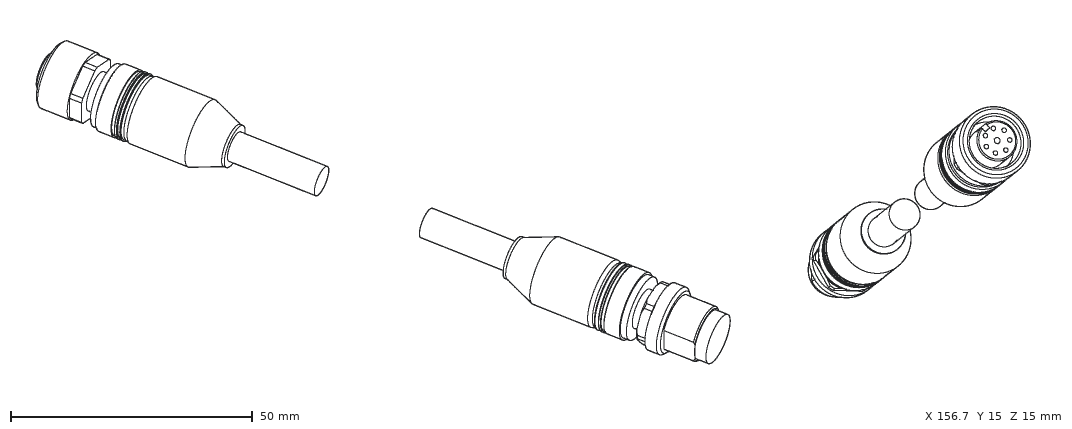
import cadquery as cq
import math

length = 156.7
max_radius = 7.5

cable_radius = 3.3
cable_length = 20.2
sleeve_radius = 4.7
sleeve_length = 0.6
cone_end = 27.9
grip_end = 48.7
collar_end = 50.1
collar_radius = 7.0
groove_depth = 0.3
grooves = ((41.4, 42.3, 43.0), (43.1, 43.7, 43.9), (44.3, 44.3, 45.1))
neck_radius = 4.4

nut_chamfer = 0.6
hex_across_flats = 13.0
hex_corner_radius = 7.2

socket_cable_end = 64.4
insert_radius = 4.2
insert_chamfer = 0.3
socket_nut_start = 1.5
socket_hex_start = 9.1
socket_hex_end = 11.9
bore_radius = 5.5
bore_chamfer = 0.5
contact_circle_radius = 2.7
contact_hole_radius = 0.5
centre_hole_radius = 0.6
contact_depth = 4.7
outer_contacts = 7
first_contact_angle = 5.0
contact_pitch = 360.0 / outer_contacts
contact_before_key = 2
key_angle = first_contact_angle + (contact_before_key + 0.5) * contact_pitch
key_length = contact_depth
key_width = 1.3
key_depth = 1.3

plug_cable_start = 88.8
plug_hex_start = 141.2
plug_ring_start = 143.5
plug_ring_end = 146.8
hex_chamfer = 0.5
thread_end = 154.0
thread_radius = 6.1
thread_chamfer = 0.3
thread_across_flats = 10.7
tip_radius = 5.5


def cylinder(start, end, radius):
    """Solid cylinder along X between two X positions."""
    return cq.Workplane("YZ").workplane(offset=start).circle(radius).extrude(end - start)


def hexagon(start, end, turn):
    """Hexagonal prism along X with its corners cut back to a cylinder."""
    corner_diameter = hex_across_flats / math.cos(math.pi / 6)
    prism = (
        cq.Workplane("YZ").workplane(offset=start)
        .polygon(6, corner_diameter).extrude(end - start)
        .rotate((0, 0, 0), (1, 0, 0), turn)
    )
    return prism.intersect(cylinder(start, end, hex_corner_radius))


def cable_and_grip():
    """One piece: cable with its moulded grip, free cable end at X = 0 and grip towards +X."""
    cone_start = cable_length + sleeve_length
    groove_points = []
    for slope_start, floor_start, end in grooves:
        groove_points += [
            (slope_start, max_radius),
            (floor_start, max_radius - groove_depth),
            (end, max_radius - groove_depth),
            (end, max_radius),
        ]
    outline = [
        (0, 0),
        (0, cable_radius),
        (cable_length, cable_radius),
        (cable_length, sleeve_radius),
        (cone_start, sleeve_radius),
        (cone_end, max_radius),
        *groove_points,
        (grip_end, max_radius),
        (grip_end, collar_radius),
        (collar_end, collar_radius),
        (collar_end, 0),
    ]
    return cq.Workplane("XY").polyline(outline).close().revolve(360, (0, 0, 0), (1, 0, 0))


def socket_nut():
    """Hollow coupling nut with a chamfered mouth, closed by its hexagonal section."""
    nut = cylinder(socket_nut_start, socket_hex_start, max_radius)
    nut = nut.faces("<X").chamfer(nut_chamfer)
    nut = nut.cut(cylinder(socket_nut_start, socket_hex_start, bore_radius))
    nut = nut.faces("<X").edges("%CIRCLE").edges(cq.selectors.RadiusNthSelector(0)).chamfer(bore_chamfer)
    return nut.union(hexagon(socket_hex_start, socket_hex_end, 90))


def contact_insert():
    """Round insert with one centre contact, a circle of contacts and a coding slot."""
    insert = cylinder(0, socket_hex_start, insert_radius).faces("<X").chamfer(insert_chamfer)
    insert = insert.cut(cylinder(0, contact_depth, centre_hole_radius))
    for index in range(outer_contacts):
        hole = cylinder(0, contact_depth, contact_hole_radius).translate((0, -contact_circle_radius, 0))
        angle = first_contact_angle + index * contact_pitch
        insert = insert.cut(hole.rotate((0, 0, 0), (1, 0, 0), -angle))
    slot = (
        cq.Workplane("XY").box(key_length, 2 * key_depth, key_width, centered=(False, True, True))
        .translate((0, -insert_radius, 0))
        .rotate((0, 0, 0), (1, 0, 0), -key_angle)
    )
    return insert.cut(slot)


def socket_connector():
    """Socket body: cable towards +X, contact face at X = 0."""
    grip = cable_and_grip().rotate((0, 0, 0), (0, 0, 1), 180).translate((socket_cable_end, 0, 0))
    neck = cylinder(socket_hex_end, socket_cable_end - collar_end, neck_radius)
    return grip.union(neck).union(socket_nut()).union(contact_insert())


def plug_nut():
    """Hexagonal section, chamfered ring and threaded sleeve with two opposite flats."""
    ring = cylinder(plug_ring_start, plug_ring_end, max_radius).faces(">X").chamfer(nut_chamfer)
    between_flats = (
        cq.Workplane("XY")
        .box(thread_end - plug_ring_end, thread_across_flats, 2 * thread_radius, centered=(False, True, True))
        .translate((plug_ring_end, 0, 0))
    )
    sleeve = cylinder(plug_ring_end, thread_end, thread_radius).faces(">X").chamfer(thread_chamfer)
    tip = cylinder(thread_end, length, tip_radius)
    chamfered = cylinder(plug_hex_start, plug_ring_start, hex_corner_radius).faces("<X").chamfer(hex_chamfer)
    hex_section = hexagon(plug_hex_start, plug_ring_start, 0).intersect(chamfered)
    return hex_section.union(ring).union(sleeve.intersect(between_flats)).union(tip)


def plug_connector():
    """Plug body: cable towards -X, threaded end at the far +X side."""
    grip = cable_and_grip().translate((plug_cable_start, 0, 0))
    neck = cylinder(plug_cable_start + collar_end, plug_hex_start, neck_radius)
    return grip.union(neck).union(plug_nut())


socket = socket_connector()
plug = plug_connector()

result = cq.Compound.makeCompound([socket.val(), plug.val()])